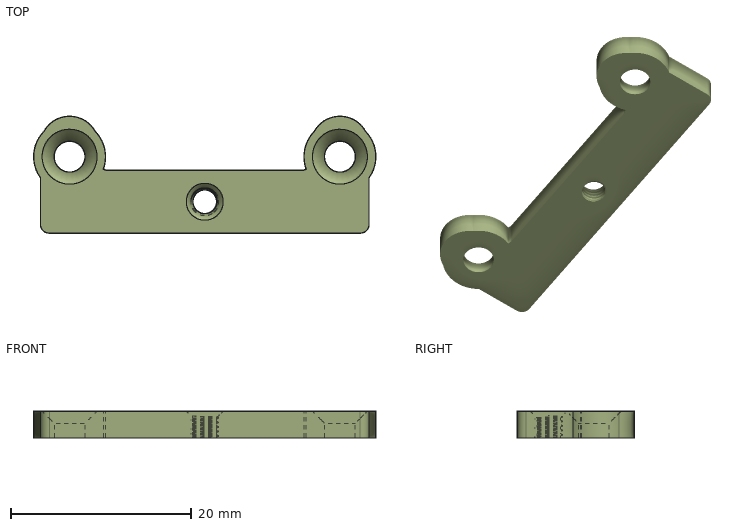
import cadquery as cq
import math

thickness = 3.0
bar_width = 7.0
corner_radius = 1.0

eye_spacing = 30.0
eye_y = 8.5
eye_diameter = 8.0
screw_hole_diameter = 3.4
screw_sink_diameter = 6.1

lug_width = 6.5
lug_tip_y = 13.0

tapped_hole_y = bar_width / 2
thread_minor_diameter = 2.6
thread_major_diameter = 3.1
thread_pitch = 0.5
thread_flank_angle = 60.0
tapped_sink_diameter = 4.1

sink_angle = 90.0
eye_positions = [(-eye_spacing / 2, eye_y), (eye_spacing / 2, eye_y)]
bar_length = eye_spacing + lug_width


def make_lug(eye_x):
    """Straight-sided lug running from the bar's front edge to a round tip."""
    lug_radius = lug_width / 2
    straight_end_y = lug_tip_y - lug_radius
    return (
        cq.Workplane("XY")
        .moveTo(eye_x - lug_radius, 0)
        .lineTo(eye_x + lug_radius, 0)
        .lineTo(eye_x + lug_radius, straight_end_y)
        .threePointArc((eye_x, lug_tip_y), (eye_x - lug_radius, straight_end_y))
        .close()
        .extrude(thickness)
    )


def make_plate():
    """U-shaped plate with rounded corners and a round pad at each eye."""
    plate = cq.Workplane("XY").rect(bar_length, bar_width).extrude(thickness)
    plate = plate.translate((0, bar_width / 2, 0))
    for eye_x, _ in eye_positions:
        plate = plate.union(make_lug(eye_x))

    inner_corner_x = (eye_spacing - lug_width) / 2
    rounded_corners = [
        (-bar_length / 2, 0),
        (bar_length / 2, 0),
        (-inner_corner_x, bar_width),
        (inner_corner_x, bar_width),
    ]
    for x, y in rounded_corners:
        corner_edge = cq.selectors.NearestToPointSelector((x, y, thickness / 2))
        plate = plate.edges("|Z").edges(corner_edge).fillet(corner_radius)

    pads = cq.Workplane("XY").pushPoints(eye_positions).circle(eye_diameter / 2).extrude(thickness)
    return plate.union(pads)


def cut_sunk_hole(body, position, hole_diameter, sink_diameter):
    """Through hole, countersunk from the top face by a cone running down to its apex."""
    x, y = position
    clearance = 1.0
    sink_slope = math.tan(math.radians(sink_angle / 2))
    sink_depth = sink_diameter / 2 / sink_slope
    cone_height = sink_depth + clearance
    bore_start = cq.Vector(x, y, -clearance)
    sink_apex = cq.Vector(x, y, thickness - sink_depth)
    bore = cq.Solid.makeCylinder(hole_diameter / 2, thickness + 2 * clearance, bore_start)
    sink = cq.Solid.makeCone(0, cone_height * sink_slope, cone_height, sink_apex)
    return body.cut(cq.Workplane(bore)).cut(cq.Workplane(sink))


def make_thread_groove():
    """Helical V-groove that cuts the thread from the minor to the major diameter."""
    root_overlap = 0.05
    inner_radius = thread_minor_diameter / 2 - root_overlap
    outer_radius = thread_major_diameter / 2
    half_opening = (outer_radius - inner_radius) * math.tan(math.radians(thread_flank_angle / 2))
    overrun = 1.5 * thread_pitch
    groove_height = thickness + 2 * overrun
    helix = cq.Wire.makeHelix(thread_pitch, groove_height, inner_radius)
    groove = (
        cq.Workplane("XZ")
        .polyline([(inner_radius, -half_opening), (outer_radius, 0), (inner_radius, half_opening)])
        .close()
        .sweep(cq.Workplane(obj=helix), isFrenet=True)
    )
    return groove.translate((0, tapped_hole_y, -overrun))


body = make_plate()
for eye_position in eye_positions:
    body = cut_sunk_hole(body, eye_position, screw_hole_diameter, screw_sink_diameter)
body = body.cut(make_thread_groove())
result = cut_sunk_hole(body, (0, tapped_hole_y), thread_minor_diameter, tapped_sink_diameter)